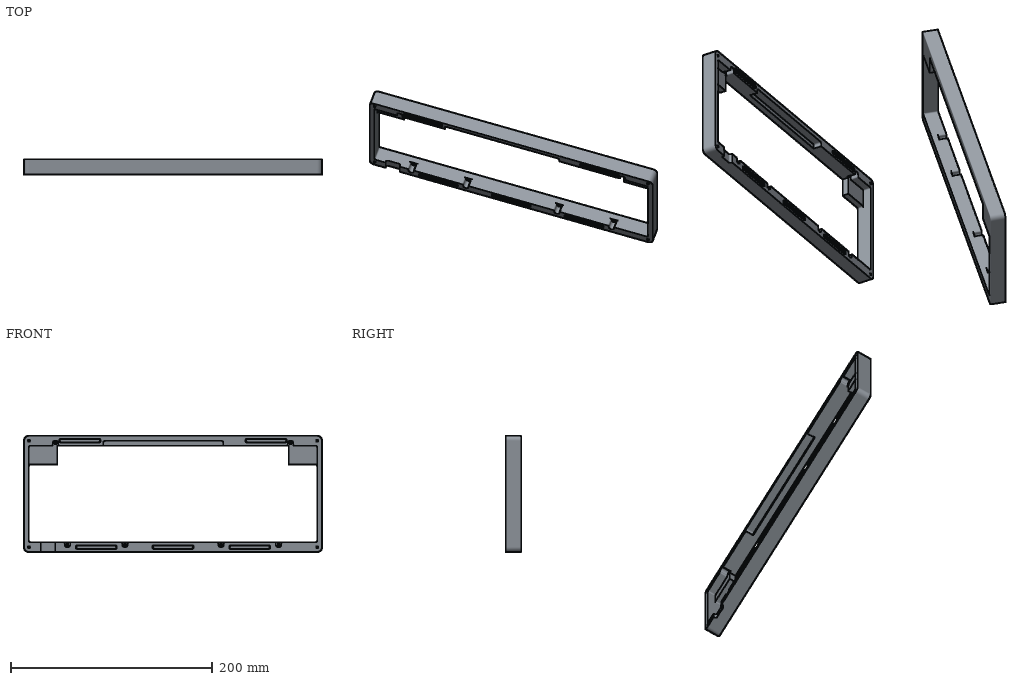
import cadquery as cq
import math

length = 296.2
depth = 15.5
height = 115.8
side_wall = 5.0
rail_height = 10.0
corner_radius = 5.0
back_fillet = 1.0
inner_fillet = 1.33

front_y = -depth / 2
back_y = depth / 2
top_z = height / 2
window_half_x = length / 2 - side_wall
window_half_z = height / 2 - rail_height

ledge_thickness = 6.8
ledge_depth = depth - ledge_thickness

pad_end_x = 115.0
pad_bottom_z = 29.0

relief_left_x = -69.3
relief_right_x = 50.0
relief_height = 4.7
relief_corner_radius = 1.8

hole_diameter = 2.0
corner_hole_inset = 5.0
corner_hole_depth = 6.0
screw_hole_depth = 4.0

recess_radius = 2.7
recess_center_z = 50.5
recess_mouth_radius = 1.33
upper_recess_x = 116.7
lower_recess_inner_x = 47.7
lower_recess_outer_x = 105.0

slot_length = 40.0
slot_width = 3.0
slot_depth = 2.0
slot_chamfer = 0.5
slot_inset = 5.0
upper_slot_x = 92.5
lower_slot_x = 76.0

notch_left_x = -131.5
notch_right_x = -116.7
notch_depth = 3.0
notch_fillet = 1.8


def block(x_min, x_max, y_min, y_max, z_min, z_max):
    """Box given by its limits along the three axes."""
    size = (x_max - x_min, y_max - y_min, z_max - z_min)
    return cq.Workplane("XY").box(*size, centered=False).translate((x_min, y_min, z_min))


def front_plane(inset=0.0):
    """Sketch plane parallel to the front face; positive extrusion goes toward the front."""
    return cq.Workplane("XZ", origin=(0, front_y + inset, 0))


def make_frame():
    body = cq.Workplane("XY").box(length, depth, height)
    body = body.edges("|Y").fillet(corner_radius)
    body = body.faces(">Y").fillet(back_fillet)
    window = block(-window_half_x, window_half_x, front_y, back_y, -window_half_z, window_half_z)
    return body.cut(window.edges("|Y").fillet(inner_fillet))


def make_pad(side):
    """Pad in an upper window corner; side is -1 for left and 1 for right."""
    x_min, x_max = sorted((side * pad_end_x, side * (length - side_wall) / 2))
    pad_top_z = window_half_z + rail_height / 2
    pad_front_y = front_y + ledge_depth
    pad = block(x_min, x_max, pad_front_y, back_y, pad_bottom_z, pad_top_z)

    wall_x = side * window_half_x
    x_min, x_max = sorted((wall_x, wall_x - side * inner_fillet))
    corner = block(x_min, x_max, pad_front_y, back_y, pad_bottom_z - inner_fillet, pad_bottom_z)
    hollow = (
        front_plane()
        .center(wall_x - side * inner_fillet, pad_bottom_z - inner_fillet)
        .circle(inner_fillet)
        .extrude(-depth)
    )
    return pad.union(corner.cut(hollow))


def make_relief():
    relief = block(
        relief_left_x,
        relief_right_x,
        front_y,
        front_y + ledge_depth,
        0,
        window_half_z + relief_height,
    )
    return relief.edges("|Y and >Z").fillet(relief_corner_radius)


def make_screw_recess(x, side):
    """U-shaped recess with a pilot hole in its floor; side is 1 for the upper rail."""
    z = side * recess_center_z
    mouth_z = side * window_half_z
    round_start_z = mouth_z + side * recess_mouth_radius
    round_end_x = recess_radius + recess_mouth_radius
    round_mid_x = round_end_x - recess_mouth_radius * math.sqrt(0.5)
    round_mid_z = round_start_z - side * recess_mouth_radius * math.sqrt(0.5)
    recess = (
        front_plane()
        .moveTo(x - recess_radius, z)
        .lineTo(x - recess_radius, round_start_z)
        .threePointArc((x - round_mid_x, round_mid_z), (x - round_end_x, mouth_z))
        .lineTo(x + round_end_x, mouth_z)
        .threePointArc((x + round_mid_x, round_mid_z), (x + recess_radius, round_start_z))
        .lineTo(x + recess_radius, z)
        .threePointArc((x, z + side * recess_radius), (x - recess_radius, z))
        .close()
        .extrude(-ledge_depth)
    )
    return recess.union(make_hole(x, z, ledge_depth, screw_hole_depth))


def make_hole(x, z, inset, hole_depth):
    return front_plane(inset).center(x, z).circle(hole_diameter / 2).extrude(-hole_depth)


def make_slot(x, side):
    """Rounded slot with a chamfered rim, cut into the front face."""
    z = side * (top_z - slot_inset)
    slot = front_plane().center(x, z).slot2D(slot_length, slot_width).extrude(-slot_depth)
    rim = (
        front_plane()
        .center(x, z)
        .slot2D(slot_length + 2 * slot_chamfer, slot_width + 2 * slot_chamfer)
        .extrude(-slot_chamfer, taper=45)
    )
    return slot.union(rim)


def make_notch():
    notch = block(notch_left_x, notch_right_x, front_y, front_y + notch_depth, -top_z, 0)
    return notch.edges("|Z and >Y").fillet(notch_fillet)


result = make_frame()

for side in (-1, 1):
    result = result.union(make_pad(side))

result = result.cut(make_relief()).cut(make_notch())

for x_side in (-1, 1):
    result = result.cut(make_screw_recess(x_side * upper_recess_x, 1))
    result = result.cut(make_screw_recess(x_side * lower_recess_inner_x, -1))
    result = result.cut(make_screw_recess(x_side * lower_recess_outer_x, -1))
    result = result.cut(make_slot(x_side * upper_slot_x, 1))
    result = result.cut(make_slot(x_side * lower_slot_x, -1))
    for z_side in (-1, 1):
        hole_x = x_side * (length / 2 - corner_hole_inset)
        hole_z = z_side * (top_z - corner_hole_inset)
        result = result.cut(make_hole(hole_x, hole_z, 0, corner_hole_depth))

result = result.cut(make_slot(0, -1))